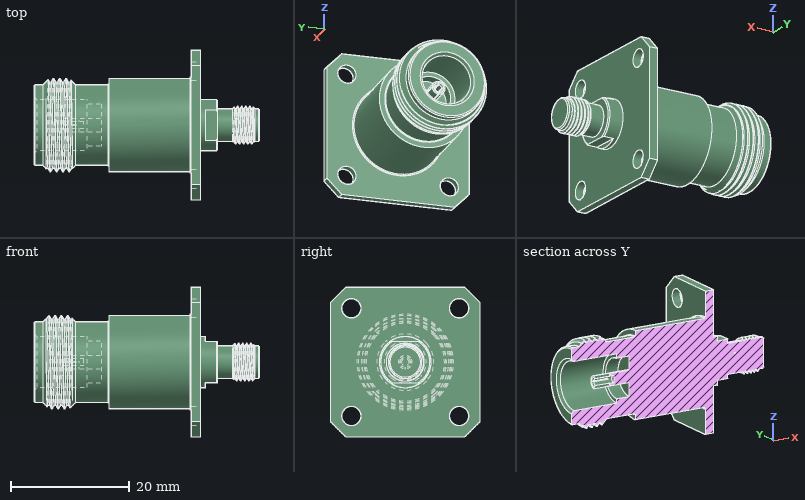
import cadquery as cq
import math


mouth_cone_start = 1.53
large_thread_end = 7.08
body_start = 12.7
flange_start = 26.63
flange_end = 28.27
collar_end = 31.15
small_thread_start = 33.65
small_thread_end = 37.45
overall_length = 38.25

barrel_radius = 6.85
body_radius = 7.92
step_width = 0.15
shoulder_radius = 6.95
rim_radius = 8.15
collar_radius = 4.35
stub_radius = 2.8
edge_chamfer = 0.23

flange_side = 25.4
flange_corner_chamfer = 2.65
mount_hole_spacing = 18.25
mount_hole_diameter = 3.2

flats_start = 29.08
flats_distance = 7.05

large_thread_crest_radius = 7.92
large_thread_root_radius = 7.35
large_thread_pitch = 1.07
large_thread_top_crest = 2.53
small_thread_crest_radius = 3.2
small_thread_pitch = 0.7
small_thread_top_crest = 34.0
thread_half_angle = 30.0
crest_flat_fraction = 0.1
ridge_root_overlap = 0.08
crest_clearance = 0.2

bore_mouth_radius = 4.82
bore_radius = 4.32
bore_mouth_depth = 0.5
bore_depth = 9.0
inner_bore_radius = 3.55
inner_bore_depth = 11.48
contact_radius = 1.15
contact_start = 4.6
contact_hole_radius = 0.6
contact_hole_mouth_radius = 0.88
contact_hole_depth = 3.83
contact_slot_width = 0.15
contact_slot_depth = 3.05


def disc(start, end, radius):
    """Solid cylinder along X between two stations."""
    return cq.Workplane("YZ", origin=(start, 0, 0)).circle(radius).extrude(end - start)


def thread_envelope(start, end, base_radius, crest_radius):
    """Round blank wider than the crest, with 45 degree cones rising from the base radius at both ends."""
    outer_radius = crest_radius + crest_clearance
    rise = outer_radius - base_radius
    return (
        cq.Workplane("XY")
        .polyline([
            (start, 0),
            (start, base_radius),
            (start + rise, outer_radius),
            (end - rise, outer_radius),
            (end, base_radius),
            (end, 0),
        ])
        .close()
        .revolve(360, (0, 0, 0), (1, 0, 0))
    )


def thread_ridge(start, end, root_radius, crest_radius, pitch, top_crest):
    """Right-hand helical ridge whose crest passes the +Z side at top_crest."""
    first_crest = top_crest - pitch * math.ceil((top_crest - start) / pitch + 1)
    turns = math.ceil((end - first_crest) / pitch) + 1
    crest_half = crest_flat_fraction * pitch / 2
    inner_radius = root_radius - ridge_root_overlap
    base_half = crest_half + (crest_radius - inner_radius) * math.tan(math.radians(thread_half_angle))
    helix = cq.Wire.makeHelix(
        pitch, turns * pitch, root_radius, center=cq.Vector(0, 0, 0), dir=cq.Vector(0, 0, 1)
    )
    ridge = (
        cq.Workplane("XZ")
        .polyline([
            (inner_radius, -base_half),
            (crest_radius, -crest_half),
            (crest_radius, crest_half),
            (inner_radius, base_half),
        ])
        .close()
        .sweep(cq.Workplane(obj=helix), isFrenet=True)
    )
    ridge = ridge.rotate((0, 0, 0), (0, 1, 0), 90).rotate((0, 0, 0), (1, 0, 0), 180)
    return ridge.translate((first_crest, 0, 0))


def make_flange():
    thickness = flange_end - flange_start
    return (
        cq.Workplane("YZ", origin=(flange_start, 0, 0))
        .rect(flange_side, flange_side)
        .extrude(thickness)
        .edges("|X")
        .chamfer(flange_corner_chamfer)
        .faces("<X")
        .workplane(origin=(flange_start, 0, 0))
        .rect(mount_hole_spacing, mount_hole_spacing, forConstruction=True)
        .vertices()
        .hole(mount_hole_diameter)
    )


def make_collar():
    """Round collar behind the flange with two wrench flats, on top and bottom."""
    collar = disc(flange_end, collar_end, collar_radius).faces(">X").chamfer(edge_chamfer)
    flat_length = collar_end - flats_start
    flats = cq.Workplane("XY").box(flat_length, 2 * collar_radius, flats_distance)
    flats = flats.translate(((flats_start + collar_end) / 2, 0, 0))
    return collar.intersect(disc(flange_end, flats_start, collar_radius).union(flats))


def make_large_thread():
    envelope = thread_envelope(
        mouth_cone_start, large_thread_end, barrel_radius, large_thread_crest_radius
    )
    core = envelope.intersect(disc(mouth_cone_start, large_thread_end, large_thread_root_radius))
    ridge = thread_ridge(
        mouth_cone_start, large_thread_end,
        large_thread_root_radius, large_thread_crest_radius,
        large_thread_pitch, large_thread_top_crest,
    )
    return core.union(ridge.intersect(envelope))


def make_small_thread():
    envelope = thread_envelope(
        small_thread_start, small_thread_end, stub_radius, small_thread_crest_radius
    )
    ridge = thread_ridge(
        small_thread_start, small_thread_end,
        stub_radius, small_thread_crest_radius,
        small_thread_pitch, small_thread_top_crest,
    )
    return ridge.intersect(envelope)


def make_bore():
    """Cavity with a tapered mouth, stepping down to a narrower inner bore."""
    return (
        cq.Workplane("XY")
        .polyline([
            (0, 0),
            (0, bore_mouth_radius),
            (bore_mouth_depth, bore_radius),
            (bore_depth, bore_radius),
            (bore_depth, inner_bore_radius),
            (inner_bore_depth, inner_bore_radius),
            (inner_bore_depth, 0),
        ])
        .close()
        .revolve(360, (0, 0, 0), (1, 0, 0))
    )


def make_contact():
    """Centre contact with a countersunk socket and four radial slots."""
    contact = disc(contact_start, inner_bore_depth, contact_radius)
    countersink = contact_hole_mouth_radius - contact_hole_radius
    socket = (
        cq.Workplane("XY")
        .polyline([
            (contact_start, 0),
            (contact_start, contact_hole_mouth_radius),
            (contact_start + countersink, contact_hole_radius),
            (contact_start + contact_hole_depth, contact_hole_radius),
            (contact_start + contact_hole_depth, 0),
        ])
        .close()
        .revolve(360, (0, 0, 0), (1, 0, 0))
    )
    contact = contact.cut(socket)
    slot = cq.Workplane("XY").box(contact_slot_depth, 2 * contact_radius, contact_slot_width)
    slot = slot.translate((contact_start + contact_slot_depth / 2, 0, 0))
    for angle in (0, 90):
        contact = contact.cut(slot.rotate((0, 0, 0), (1, 0, 0), angle))
    return contact


barrel = disc(0, body_start, barrel_radius).faces("<X").chamfer(edge_chamfer)
shoulder = disc(body_start - step_width, body_start, shoulder_radius)
body = disc(body_start, flange_start, body_radius)
rim = disc(flange_start - step_width, flange_start, rim_radius)
stub = disc(collar_end, overall_length, stub_radius).faces(">X").chamfer(edge_chamfer)

result = (
    barrel.union(shoulder)
    .union(body)
    .union(rim)
    .union(make_flange())
    .union(make_collar())
    .union(stub)
    .union(make_large_thread())
    .union(make_small_thread())
    .cut(make_bore())
    .union(make_contact())
)